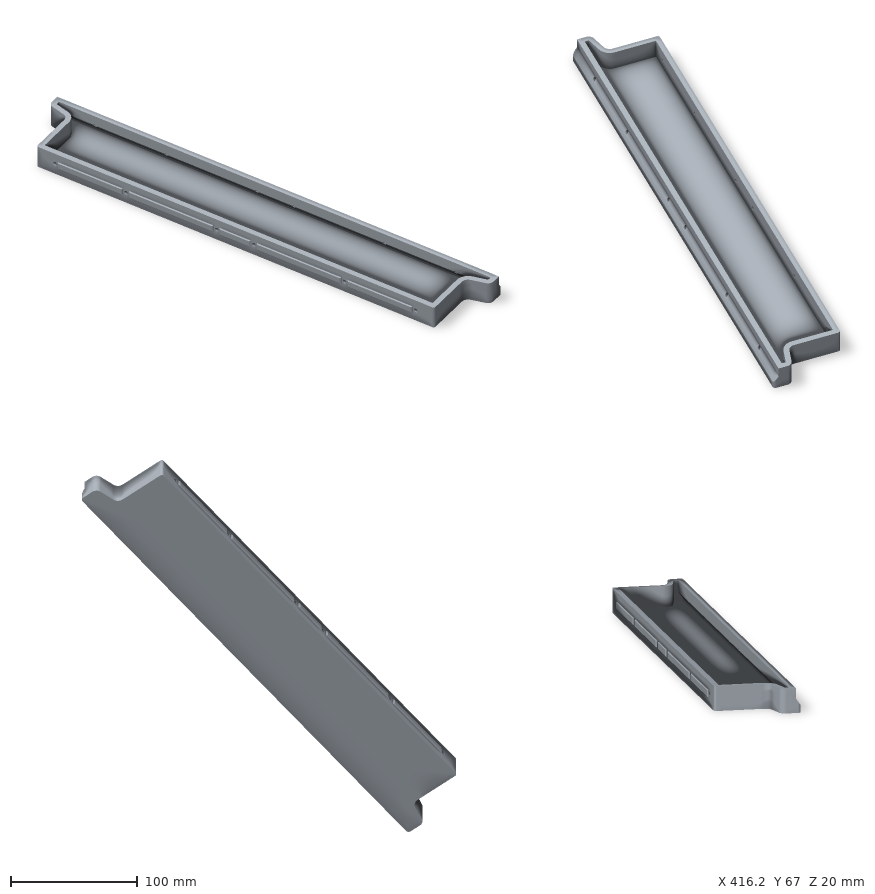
import cadquery as cq
import math

HEIGHT = 20.0
HALF_WIDTH = 208.1
HALF_BODY_WIDTH = 187.4
BACK_Y = 33.5
FRONT_Y = -32.3
WALL = 4.7
FLOOR = 3.0

SHOULDER_ANGLE = 14.4
SHOULDER_START_Y = 17.5
EAR_RADIUS = 5.2
ROOT_RADIUS = 6.0
FRONT_CORNER_RADIUS = 2.0

LEDGE_DEPTH = 4.2
LEDGE_LEAN = 35.5
LEDGE_TOP_Z = 11.5
LEDGE_SLOPE_HEIGHT = LEDGE_DEPTH / math.tan(math.radians(LEDGE_LEAN))
LEDGE_CORNER_RADIUS = 2.6
UPPER_BACK_Y = BACK_Y - LEDGE_DEPTH
POCKET_SLOPE_DROP = 0.6

RIB_HEIGHT = BACK_Y + FRONT_Y
RIB_FOOT_HEIGHT = 0.6
RIB_WIDTH = 5.8
RIB_TIP_WIDTH = 4.86
RIB_END_TAPER = 1.0
RIB_END_GAP = 3.0
RIB_Z = HEIGHT / 2

HOLE_DIAMETER = 3.35
HOLE_OFFSETS = [17.5, 102.9, 169.93]
HOLE_X = [-x for x in reversed(HOLE_OFFSETS)] + HOLE_OFFSETS

PLUG_DIAMETER = 3.4
PLUG_Z = 15.9

PICK_TOLERANCE = 0.1


def fillet_pair(body, x, y, radius):
    """Round the two vertical edges at (x, y) and (-x, y)."""
    picked = [
        edge for edge in body.edges("|Z").vals()
        if abs(abs(edge.Center().x) - x) < PICK_TOLERANCE
        and abs(edge.Center().y - y) < PICK_TOLERANCE
    ]
    return body.newObject(picked).fillet(radius)


def tray_prism(inset, bottom):
    """Tray outline moved inward by inset, from bottom up to the top face."""
    angle = math.radians(SHOULDER_ANGLE)
    side = HALF_BODY_WIDTH - inset
    ear = HALF_WIDTH - inset
    front = FRONT_Y + inset
    back = UPPER_BACK_Y - inset
    ear_y = SHOULDER_START_Y + inset / math.cos(angle) - inset * math.tan(angle)
    root_y = ear_y - (ear - side) * math.tan(angle)
    right = [(side, front), (side, root_y), (ear, ear_y), (ear, back)]
    left = [(-x, y) for x, y in reversed(right)]
    body = (
        cq.Workplane("XY", origin=(0, 0, bottom))
        .polyline(right + left).close().extrude(HEIGHT - bottom)
    )
    body = fillet_pair(body, side, root_y, ROOT_RADIUS + inset)
    if inset < EAR_RADIUS:
        body = fillet_pair(body, ear, ear_y, EAR_RADIUS - inset)
    if inset < FRONT_CORNER_RADIUS:
        body = fillet_pair(body, side, front, FRONT_CORNER_RADIUS - inset)
    return body


def ledge_band(inset, bottom, slope_drop):
    """Sloped band behind the upper back face, moved inward by inset and lowered by slope_drop."""
    half = HALF_WIDTH - inset
    inner_y = UPPER_BACK_Y - inset
    outer_y = BACK_Y - inset
    slope_top = LEDGE_TOP_Z - slope_drop
    profile = [
        (inner_y, bottom),
        (outer_y, bottom),
        (outer_y, slope_top - LEDGE_SLOPE_HEIGHT),
        (inner_y, slope_top),
    ]
    return cq.Workplane("YZ", origin=(-half, 0, 0)).polyline(profile).close().extrude(2 * half)


def front_rib(start_x, end_x):
    """Rib on the front face between two neighbouring holes."""
    length = end_x - start_x - 2 * RIB_END_GAP
    middle_x = (start_x + end_x) / 2
    foot = (
        cq.Workplane("XZ", origin=(middle_x, FRONT_Y, RIB_Z))
        .rect(length, RIB_WIDTH).extrude(RIB_FOOT_HEIGHT)
    )
    tip = (
        cq.Workplane("XZ", origin=(middle_x, FRONT_Y - RIB_FOOT_HEIGHT, RIB_Z))
        .rect(length, RIB_WIDTH)
        .workplane(offset=RIB_HEIGHT - RIB_FOOT_HEIGHT)
        .rect(length - 2 * RIB_END_TAPER, RIB_TIP_WIDTH)
        .loft(ruled=True)
    )
    return foot.union(tip)


def back_plug():
    """Round plug filling the upper back wall from face to face."""
    return (
        cq.Workplane("XZ", origin=(0, UPPER_BACK_Y, PLUG_Z))
        .circle(PLUG_DIAMETER / 2).extrude(WALL)
    )


def build_tray():
    """Open tray with a stepped back wall, front ribs and through holes."""
    ledge = ledge_band(0, 0, 0).edges("|Z and >Y").fillet(LEDGE_CORNER_RADIUS)
    body = tray_prism(0, 0).union(ledge)
    body = body.cut(tray_prism(WALL, FLOOR))
    body = body.cut(ledge_band(WALL, FLOOR, POCKET_SLOPE_DROP))
    for start_x, end_x in zip(HOLE_X, HOLE_X[1:]):
        body = body.union(front_rib(start_x, end_x))
    holes = (
        cq.Workplane("XZ", origin=(0, BACK_Y, RIB_Z))
        .pushPoints([(x, 0) for x in HOLE_X])
        .circle(HOLE_DIAMETER / 2).extrude(2 * BACK_Y)
    )
    return body.cut(holes).cut(back_plug())


tray = build_tray()
plug = back_plug()

result = cq.Compound.makeCompound([tray.val(), plug.val()])